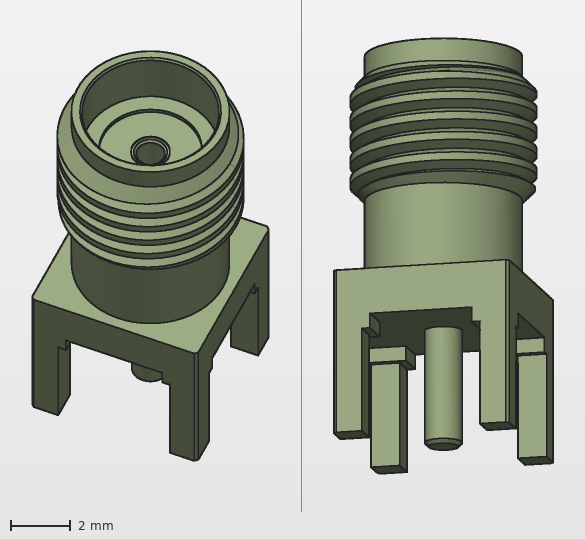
import cadquery as cq
import math

total_height = 13.5
base_top = 5.6
base_underside = 4.04
pad_bottom = 3.54

base_side = 6.09
base_corner_chamfer = 0.11
leg_side = 1.0
pad_side = 1.28

barrel_diameter = 5.3
thread_diameter = 6.26
thread_bottom = 8.52
thread_top = 12.73
thread_pitch = 0.7
thread_root_radius = 2.75
thread_angle = 60.0
groove_start_height = 8.06
groove_turns = 7
groove_overcut = 0.08

bore_diameter = 4.6
bore_depth = 1.95
bore_chamfer = 0.07
recess_diameter = 3.45
recess_depth = 0.14
clearance_diameter = 1.31
clearance_depth = 0.04

pin_diameter = 1.27
pin_bottom = 0.04
pin_chamfer = 0.14
contact_hole_diameter = 0.96
contact_hole_depth = 2.02
contact_tip_depth = 0.27
contact_countersink = 0.08


def cylinder(diameter, bottom, top):
    """Vertical cylinder on the part axis."""
    return cq.Workplane("XY").workplane(offset=bottom).circle(diameter / 2).extrude(top - bottom)


def turned(profile):
    """Solid of revolution about the part axis from a profile of (radius, height) points."""
    return cq.Workplane("XZ").polyline(profile).close().revolve(360, (0, 0), (0, 1))


def corner_posts(side, top):
    """Square posts set into the four corners of the base, rising from z = 0."""
    spacing = base_side - side
    return cq.Workplane("XY").rect(spacing, spacing, forConstruction=True).vertices().rect(side, side).extrude(top)


def make_base():
    plate = (
        cq.Workplane("XY")
        .workplane(offset=pad_bottom)
        .rect(base_side, base_side)
        .extrude(base_top - pad_bottom)
    )
    cavity = (
        cq.Workplane("XY")
        .rect(base_side, base_side)
        .extrude(base_underside)
        .cut(corner_posts(pad_side, base_underside))
    )
    base = plate.cut(cavity).union(corner_posts(leg_side, base_top))
    envelope = (
        cq.Workplane("XY")
        .rect(base_side, base_side)
        .extrude(base_top)
        .edges("|Z")
        .chamfer(base_corner_chamfer)
    )
    return base.intersect(envelope)


def make_thread():
    """Collar chamfered at both ends, with a right-handed V groove cut round it."""
    barrel_radius = barrel_diameter / 2
    crest_radius = thread_diameter / 2
    end_chamfer = crest_radius - barrel_radius
    collar = turned([
        (0, thread_bottom),
        (barrel_radius, thread_bottom),
        (crest_radius, thread_bottom + end_chamfer),
        (crest_radius, thread_top - end_chamfer),
        (barrel_radius, thread_top),
        (0, thread_top),
    ])
    outer_radius = crest_radius + groove_overcut
    half_width = (outer_radius - thread_root_radius) * math.tan(math.radians(thread_angle / 2))
    helix = cq.Wire.makeHelix(thread_pitch, thread_pitch, thread_root_radius)
    groove_turn = (
        cq.Workplane("XZ")
        .moveTo(thread_root_radius, 0)
        .lineTo(outer_radius, half_width)
        .lineTo(outer_radius, -half_width)
        .close()
        .sweep(cq.Workplane(obj=helix), isFrenet=True)
        .translate((0, 0, groove_start_height))
    )
    for turn in range(groove_turns):
        collar = collar.cut(groove_turn.translate((0, 0, turn * thread_pitch)))
    return collar


def make_socket():
    """Material removed from the barrel: stepped bore around the contact."""
    bore_floor = total_height - bore_depth
    recess_floor = bore_floor - recess_depth
    bore_radius = bore_diameter / 2
    bore = turned([
        (0, bore_floor),
        (bore_radius, bore_floor),
        (bore_radius, total_height - bore_chamfer),
        (bore_radius + bore_chamfer, total_height),
        (0, total_height),
    ])
    recess = cylinder(recess_diameter, recess_floor, bore_floor)
    clearance = cylinder(clearance_diameter, recess_floor - clearance_depth, recess_floor)
    return bore.union(recess).union(clearance)


def make_contact_hole():
    """Countersunk blind hole with a conical end."""
    mouth = total_height - bore_depth - recess_depth - clearance_depth
    radius = contact_hole_diameter / 2
    tip = mouth - contact_hole_depth
    return turned([
        (0, mouth),
        (radius + contact_countersink, mouth),
        (radius, mouth - contact_countersink),
        (radius, tip + contact_tip_depth),
        (0, tip),
    ])


pin = cylinder(pin_diameter, pin_bottom, base_top).faces("<Z").chamfer(pin_chamfer)
barrel = cylinder(barrel_diameter, base_top, total_height)
result = (
    make_base()
    .union(pin)
    .union(barrel)
    .union(make_thread())
    .cut(make_socket())
    .cut(make_contact_hole())
)